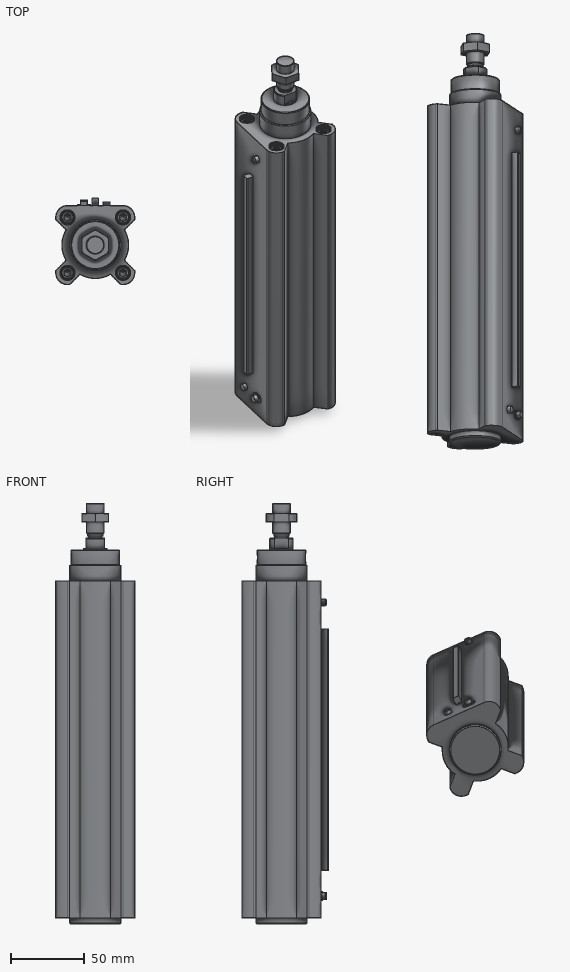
import cadquery as cq
import math

total_height = 287.0
boss_height = 4.3
barrel_length = 229.8
barrel_top = boss_height + barrel_length

profile_side = 54.0
corner_radius = 8.0
arm_width = 13.5
lobe_diameter = 40.0
lobe_offset = 3.0
half_side = profile_side / 2
screw_offset = half_side - corner_radius

boss_diameter = 35.0
boss_chamfer = 1.0
collar_height = 10.5
nose_height = 10.5
nose_diameter = 33.3
nose_waist_depth = 0.15
nose_chamfer = 0.5
nose_bottom = barrel_top + collar_height
nose_top = nose_bottom + nose_height

recess_diameter = 10.3
recess_depth = 1.0
head_rim_diameter = 9.0
head_rim_depth = 1.7
socket_lead_diameter = 7.5
socket_lead_depth = 2.3
socket_across_flats = 5.0
socket_depth = 5.7
drill_point_depth = 1.5

rail_width = 4.5
rail_height = 5.2
rail_chamfer = 0.5
rail_bottom = 36.7
rail_length = 164.7
fitting_offset = 7.7
lower_fitting_z = 19.2
upper_fitting_z = 219.5
fitting_diameter = 5.0
fitting_height = 3.7
short_fitting_height = 2.5
flange_length = 9.0
flange_width = 6.0
flange_height = 1.0
fitting_chamfer = 1.0

rod_diameter = 16.0
flat_spacing = 13.0
rod_shoulder = 263.5
flat_bottom = nose_top + 1.0
relief_diameter = 9.5
relief_top = 264.8
neck_diameter = 10.3
shoulder_chamfer = 0.5
neck_top = 266.2
thread_diameter = 12.0
tip_chamfer = 0.3
thread_end_chamfer = 0.5

nut_across_flats = 18.0
nut_height = 5.7
nut_bottom = 274.3
nut_face_diameter = 19.8
nut_chamfer_angle = 30


def cylinder(diameter, bottom, top):
    return cq.Workplane("XY").workplane(offset=bottom).circle(diameter / 2).extrude(top - bottom)


def make_barrel():
    """Three round lobes (left, right and front), four diagonal screw arms and a flat back."""
    square = cq.Workplane("XY").rect(profile_side, profile_side).extrude(barrel_length)
    square = square.edges("|Z").fillet(corner_radius)
    arms = None
    for angle in (45, 135):
        bar = cq.Workplane("XY").rect(2 * profile_side, arm_width).extrude(barrel_length)
        bar = bar.rotate((0, 0, 0), (0, 0, 1), angle)
        arms = bar if arms is None else arms.union(bar)
    back = cq.Workplane("XY").rect(2 * screw_offset, half_side).extrude(barrel_length)
    back = back.translate((0, half_side / 2, 0))
    barrel = square.intersect(arms).union(back)
    for x, y in ((-lobe_offset, 0), (lobe_offset, 0), (0, -lobe_offset)):
        lobe = cq.Workplane("XY").center(x, y).circle(lobe_diameter / 2).extrude(barrel_length)
        barrel = barrel.union(lobe)
    return barrel.translate((0, 0, boss_height))


def make_collar():
    """Collar with a slightly waisted nose, turned about Z."""
    nose_radius = nose_diameter / 2
    waist_bottom = nose_bottom + nose_chamfer
    waist_top = nose_top - nose_chamfer
    return (
        cq.Workplane("XZ")
        .moveTo(0, barrel_top)
        .lineTo(boss_diameter / 2, barrel_top)
        .lineTo(boss_diameter / 2, nose_bottom)
        .lineTo(nose_radius - nose_chamfer, nose_bottom)
        .lineTo(nose_radius, waist_bottom)
        .threePointArc(
            (nose_radius - nose_waist_depth, (waist_bottom + waist_top) / 2),
            (nose_radius, waist_top),
        )
        .lineTo(nose_radius - nose_chamfer, nose_top)
        .lineTo(0, nose_top)
        .close()
        .revolve(360, (0, 0, 0), (0, 1, 0))
    )


def make_screw_recess():
    """Stepped recess with a hexagon socket that ends in a drill point."""
    recess = cylinder(recess_diameter, barrel_top - recess_depth, barrel_top)
    rim = cylinder(head_rim_diameter, barrel_top - head_rim_depth, barrel_top)
    lead = cylinder(socket_lead_diameter, barrel_top - socket_lead_depth, barrel_top)
    socket_bottom = barrel_top - socket_depth
    socket = (
        cq.Workplane("XY")
        .workplane(offset=socket_bottom)
        .polygon(6, socket_across_flats, circumscribed=True)
        .extrude(socket_depth)
    )
    point = cq.Workplane(
        cq.Solid.makeCone(
            0, socket_across_flats / 2, drill_point_depth, cq.Vector(0, 0, socket_bottom - drill_point_depth)
        )
    )
    return recess.union(rim).union(lead).union(socket).union(point)


def back_fitting(x, z, diameter, height):
    """Stud that stands out of the back face along +Y."""
    return cq.Workplane("XZ", origin=(x, half_side, z)).circle(diameter / 2).extrude(-height)


def make_housing():
    """Barrel, boss and collar with screw recesses, back fittings and the rod bore."""
    boss = cylinder(boss_diameter, 0, boss_height).faces("<Z").chamfer(boss_chamfer)
    body = make_barrel().union(boss).union(make_collar())

    for x in (-screw_offset, screw_offset):
        for y in (-screw_offset, screw_offset):
            body = body.cut(make_screw_recess().translate((x, y, 0)))

    rail = cq.Workplane("XY").box(rail_width, rail_height, rail_length, centered=(True, False, False))
    rail = rail.edges("|Z").chamfer(rail_chamfer)
    body = body.union(rail.translate((0, half_side, rail_bottom)))

    flange = (
        cq.Workplane("XZ", origin=(-fitting_offset, half_side, lower_fitting_z))
        .slot2D(flange_length, flange_width)
        .extrude(-flange_height)
    )
    lower = back_fitting(-fitting_offset, lower_fitting_z, fitting_diameter, fitting_height)
    upper = back_fitting(-fitting_offset, upper_fitting_z, fitting_diameter, fitting_height)
    upper = upper.faces(">Y").chamfer(fitting_chamfer)
    short = back_fitting(fitting_offset, lower_fitting_z, fitting_diameter, short_fitting_height)
    body = body.union(flange).union(lower).union(upper).union(short)

    rod_bore = cylinder(rod_diameter, barrel_top, nose_top)
    return body.cut(rod_bore)


def make_rod():
    """Shank with two wrench flats facing X, then a relief, a neck and the thread."""
    shank = cylinder(rod_diameter, barrel_top, rod_shoulder).faces(">Z").chamfer(shoulder_chamfer)
    between_flats = cq.Workplane("XY").box(
        flat_spacing, rod_diameter, rod_shoulder - flat_bottom, centered=(True, True, False)
    )
    below_flats = cylinder(rod_diameter, barrel_top, flat_bottom)
    shank = shank.intersect(between_flats.translate((0, 0, flat_bottom)).union(below_flats))
    relief = cylinder(relief_diameter, rod_shoulder, relief_top)
    neck = cylinder(neck_diameter, relief_top, neck_top)
    thread = cylinder(thread_diameter, neck_top, total_height)
    thread = thread.faces(">Z").chamfer(tip_chamfer).faces("<Z").chamfer(thread_end_chamfer)
    return shank.union(relief).union(neck).union(thread)


def make_nut():
    """Hexagon nut with corners along Y and a conical chamfer on its upper corners."""
    hex_radius = nut_across_flats / math.sqrt(3)
    hexagon = (
        cq.Workplane("XY")
        .polygon(6, 2 * hex_radius)
        .extrude(nut_height)
        .rotate((0, 0, 0), (0, 0, 1), 30)
    )
    face_radius = nut_face_diameter / 2
    corner_drop = (hex_radius - face_radius) * math.tan(math.radians(nut_chamfer_angle))
    envelope = (
        cq.Workplane("XZ")
        .lineTo(hex_radius, 0)
        .lineTo(hex_radius, nut_height - corner_drop)
        .lineTo(face_radius, nut_height)
        .lineTo(0, nut_height)
        .close()
        .revolve(360, (0, 0, 0), (0, 1, 0))
    )
    hole = cq.Workplane("XY").circle(thread_diameter / 2).extrude(nut_height)
    return hexagon.intersect(envelope).cut(hole).translate((0, 0, nut_bottom))


housing = make_housing()
rod = make_rod()
nut = make_nut()

result = cq.Compound.makeCompound([housing.val(), rod.val(), nut.val()])